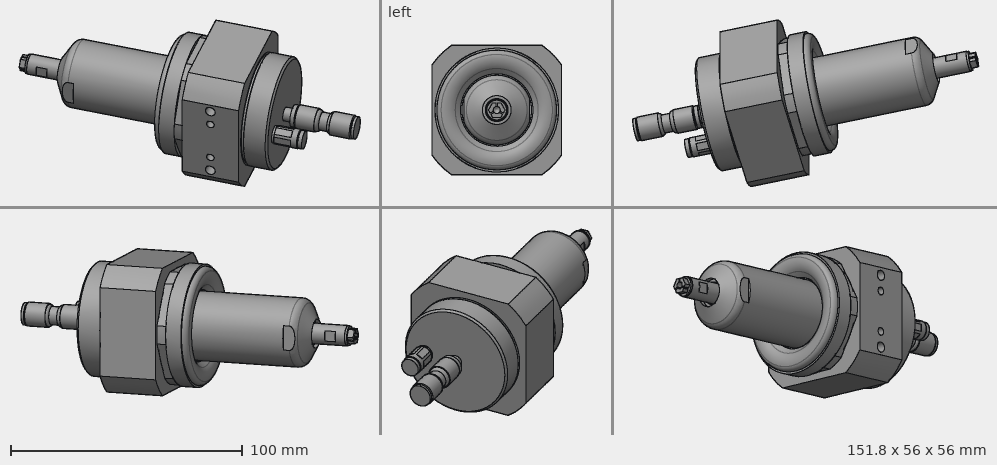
import cadquery as cq
import math


QUARTER_SINE = math.sin(math.radians(45))

collet_length = 2.7
collet_flats = 6.2
collet_bore_diameter = 3.0
collet_bore_depth = 3.6
drill_point_angle = 118.0
slit_width = 0.6
slit_count = 3
collar_diameter = 8.5
collar_end = 3.6
shaft_diameter = 9.0
shaft_flat_start = 7.9
shaft_flat_length = 4.9
shaft_across_flats = 7.7

nose_start = 18.0
nose_mouth_diameter = 12.5
nose_recess_depth = 2.1
seal_bore_diameter = 9.9
seal_bore_depth = 6.0
barrel_diameter = 30.0
nose_cone_end = 23.2
nose_fillet = 4.0
nose_flat_end = 28.1
nose_across_flats = 28.1

flange_front = 67.9
flange_shoulder = 70.6
flange_back = 77.6
flange_diameter = 53.5
rim_diameter = 51.6
crest_radius = 24.0
dish_edge_radius = 17.9
dish_edge_depth = 1.4
dish_bore_radius = 15.6
dish_roll_depth = 3.3
dish_floor_depth = 4.5

hexagon_flats = 49.5
hexagon_corner_diameter = 53.1
block_start = 81.7
block_end = 107.2
block_width = 56.0
block_corner_diameter = 68.2
bore_diameter = 50.0
neck_diameter = 48.3
cap_start = 108.4
cap_end = 119.2
cap_diameter = 50.0
cap_chamfer = 0.9
screw_hole_diameter = 4.4
screw_hole_height = 16.0
pin_hole_diameter = 3.3
pin_hole_height = 9.0

long_stub_diameter = 6.0
ring_diameter = 9.9
ring_start = 123.0
ring_end = 124.8
sleeve_groove_diameter = 7.1
sleeve_diameter = 10.5
front_sleeve_start = 125.4
front_sleeve_end = 133.9
waist_diameter = 8.0
waist_start = 135.7
waist_end = 139.4
shoulder_diameter = 9.7
rear_sleeve_start = 140.7
rear_sleeve_end = 150.0
end_ring_start = 150.6
overall_length = 151.8

short_fitting_y = -15.0
short_stub_diameter = 7.7
short_body_diameter = 8.5
wrench_start = 120.2
wrench_end = 127.8
wrench_flats = 7.9
short_body_end = 130.5
short_groove_diameter = 5.2
short_ring_start = 131.0
short_ring_end = 132.8
short_ring_diameter = 8.0


def cylinder(start, end, diameter, y=0.0):
    """Cylinder along X between two stations."""
    return (
        cq.Workplane("YZ", origin=(start, y, 0))
        .circle(diameter / 2)
        .extrude(end - start)
    )


def hexagon(start, end, across_flats, turn=0.0, y=0.0):
    """Hexagonal bar along X with two corners on the Y direction, then turned about its axis."""
    bar = (
        cq.Workplane("YZ")
        .polygon(6, across_flats / math.cos(math.radians(30)))
        .extrude(end - start)
    )
    return bar.rotate((0, 0, 0), (1, 0, 0), turn).translate((start, y, 0))


def flats_cutter(start, end, across_flats, outer_diameter):
    """Two slabs that cut parallel flats facing -Y and +Y."""
    length = end - start
    slab = cq.Workplane("XY").box(length, outer_diameter, outer_diameter)
    offset = (across_flats + outer_diameter) / 2
    middle = (start + end) / 2
    return slab.translate((middle, offset, 0)).union(slab.translate((middle, -offset, 0)))


def collet_and_shaft():
    """Slotted hexagonal collet on the round spindle shaft."""
    collet = hexagon(0, collet_length, collet_flats)
    for index in range(slit_count):
        slit = (
            cq.Workplane("XY")
            .box(collet_length, slit_width, collet_flats, centered=(False, True, False))
            .rotate((0, 0, 0), (1, 0, 0), index * 360 / slit_count)
        )
        collet = collet.cut(slit)

    shaft = cylinder(collet_length, collar_end, collar_diameter)
    shaft = shaft.union(cylinder(collar_end, nose_start + seal_bore_depth, shaft_diameter))
    shaft = shaft.cut(
        flats_cutter(
            shaft_flat_start, shaft_flat_start + shaft_flat_length, shaft_across_flats, shaft_diameter
        )
    )

    bore_radius = collet_bore_diameter / 2
    point_length = bore_radius / math.tan(math.radians(drill_point_angle / 2))
    bore = (
        cq.Workplane("XY")
        .moveTo(0, 0)
        .lineTo(0, bore_radius)
        .lineTo(collet_bore_depth, bore_radius)
        .lineTo(collet_bore_depth + point_length, 0)
        .close()
        .revolve(360, (0, 0, 0), (1, 0, 0))
    )
    return collet.union(shaft).cut(bore)


def nose_and_barrel():
    """Barrel with a rounded conical nose, two wrench flats and a stepped recess around the shaft."""
    barrel_radius = barrel_diameter / 2
    barrel = (
        cq.Workplane("XY")
        .moveTo(nose_start, 0)
        .lineTo(nose_start, nose_mouth_diameter / 2)
        .lineTo(nose_cone_end, barrel_radius)
        .lineTo(flange_back, barrel_radius)
        .lineTo(flange_back, 0)
        .close()
        .revolve(360, (0, 0, 0), (1, 0, 0))
    )
    cone_edge = cq.selectors.BoxSelector(
        (nose_cone_end - 0.2, -barrel_diameter, -barrel_diameter),
        (nose_cone_end + 0.2, barrel_diameter, barrel_diameter),
        boundingbox=True,
    )
    barrel = barrel.edges(cone_edge).fillet(nose_fillet)
    barrel = barrel.cut(flats_cutter(nose_start, nose_flat_end, nose_across_flats, barrel_diameter))
    barrel = barrel.cut(cylinder(nose_start, nose_start + nose_recess_depth, nose_mouth_diameter))
    return barrel.cut(cylinder(nose_start, nose_start + seal_bore_depth, seal_bore_diameter))


def dished_flange():
    """Flange with a rounded front rim that rolls inwards to a shallow ring groove around the barrel."""
    flange_radius = flange_diameter / 2
    rim_radius = rim_diameter / 2
    rim_middle = (
        flange_shoulder - (flange_shoulder - flange_front) * QUARTER_SINE,
        crest_radius + (rim_radius - crest_radius) * QUARTER_SINE,
    )
    return (
        cq.Workplane("XY")
        .moveTo(flange_back, 0)
        .lineTo(flange_back, flange_radius)
        .lineTo(flange_shoulder, flange_radius)
        .lineTo(flange_shoulder, rim_radius)
        .threePointArc(rim_middle, (flange_front, crest_radius))
        .tangentArcPoint((flange_front + dish_edge_depth, dish_edge_radius), relative=False)
        .tangentArcPoint((flange_front + dish_roll_depth, dish_bore_radius), relative=False)
        .lineTo(flange_front + dish_floor_depth, dish_bore_radius)
        .lineTo(flange_front + dish_floor_depth, 0)
        .close()
        .revolve(360, (0, 0, 0), (1, 0, 0))
    )


def hexagon_with_round_corners():
    """Hexagon behind the flange, its corners turned down to a circle."""
    corners = cylinder(flange_back, block_start, hexagon_corner_diameter)
    return hexagon(flange_back, block_start, hexagon_flats).intersect(corners)


def core_and_cap():
    """Round core that fills the block's bore, a neck behind it and the chamfered rear cap."""
    core = cylinder(block_start, block_end, bore_diameter)
    neck = cylinder(block_end, cap_start, neck_diameter)
    cap = cylinder(cap_start, cap_end, cap_diameter).faces(">X").edges().chamfer(cap_chamfer)
    return core.union(neck).union(cap)


def long_fitting():
    """Central air coupling: two sleeves joined by a rounded waist."""
    shoulder = shoulder_diameter / 2
    waist = waist_diameter / 2
    roll_radius = waist + (shoulder - waist) * QUARTER_SINE
    roll_middle = (front_sleeve_end + (waist_start - front_sleeve_end) * QUARTER_SINE, roll_radius)
    rear_roll_middle = (rear_sleeve_start - (rear_sleeve_start - waist_end) * QUARTER_SINE, roll_radius)
    waist_piece = (
        cq.Workplane("XY")
        .moveTo(front_sleeve_end, 0)
        .lineTo(front_sleeve_end, shoulder)
        .threePointArc(roll_middle, (waist_start, waist))
        .lineTo(waist_end, waist)
        .threePointArc(rear_roll_middle, (rear_sleeve_start, shoulder))
        .lineTo(rear_sleeve_start, 0)
        .close()
        .revolve(360, (0, 0, 0), (1, 0, 0))
    )
    fitting = cylinder(cap_end, ring_start, long_stub_diameter)
    fitting = fitting.union(cylinder(ring_start, ring_end, ring_diameter))
    fitting = fitting.union(cylinder(ring_end, front_sleeve_start, sleeve_groove_diameter))
    fitting = fitting.union(cylinder(front_sleeve_start, front_sleeve_end, sleeve_diameter))
    fitting = fitting.union(waist_piece)
    fitting = fitting.union(cylinder(rear_sleeve_start, rear_sleeve_end, sleeve_diameter))
    fitting = fitting.union(cylinder(rear_sleeve_end, end_ring_start, sleeve_groove_diameter))
    return fitting.union(cylinder(end_ring_start, overall_length, ring_diameter))


def short_fitting():
    """Off-centre air fitting with six wrench flats."""
    y = short_fitting_y
    grip = cylinder(wrench_start, wrench_end, short_body_diameter, y)
    grip = grip.intersect(hexagon(wrench_start, wrench_end, wrench_flats, 30, y))
    fitting = cylinder(cap_end, wrench_start, short_stub_diameter, y)
    fitting = fitting.union(grip)
    fitting = fitting.union(cylinder(wrench_end, short_body_end, short_body_diameter, y))
    fitting = fitting.union(cylinder(short_body_end, short_ring_start, short_groove_diameter, y))
    return fitting.union(cylinder(short_ring_start, short_ring_end, short_ring_diameter, y))


def make_spindle():
    """Complete spindle unit, from the collet to the air fittings."""
    spindle = nose_and_barrel().union(collet_and_shaft())
    spindle = spindle.union(dished_flange())
    spindle = spindle.union(hexagon_with_round_corners())
    spindle = spindle.union(core_and_cap())
    return spindle.union(long_fitting()).union(short_fitting())


def make_mounting_block():
    """Square block with round corners, bored for the spindle and drilled from its -Y side."""
    length = block_end - block_start
    middle = (block_start + block_end) / 2
    block = cq.Workplane("XY").box(length, block_width, block_width).translate((middle, 0, 0))
    block = block.intersect(cylinder(block_start, block_end, block_corner_diameter))
    block = block.cut(cylinder(block_start, block_end, bore_diameter))

    hole_sizes = ((screw_hole_height, screw_hole_diameter), (pin_hole_height, pin_hole_diameter))
    for height, diameter in hole_sizes:
        holes = (
            cq.Workplane("XZ", origin=(middle, 0, 0))
            .pushPoints([(0, height), (0, -height)])
            .circle(diameter / 2)
            .extrude(block_width / 2)
        )
        block = block.cut(holes)
    return block


spindle = make_spindle()
mounting_block = make_mounting_block()

result = cq.Compound.makeCompound([spindle.val(), mounting_block.val()])